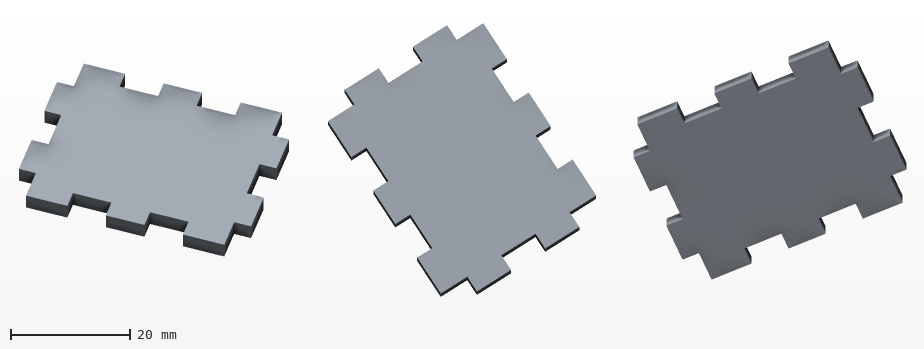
import cadquery as cq

length = 41.0
width = 31.0
thickness = 3.0
finger_width = 6.8

body_length = length - 2 * thickness

panel = cq.Workplane("XY").box(body_length, width, thickness)

gap_y = (width - thickness) / 2
gap_centers = [(x, y) for x in (-finger_width, finger_width) for y in (-gap_y, gap_y)]
gaps = cq.Workplane("XY").pushPoints(gap_centers).box(finger_width, thickness, thickness)

tab_centers = [(0, -finger_width), (0, finger_width)]
tab_bars = cq.Workplane("XY").pushPoints(tab_centers).box(length, finger_width, thickness)

result = panel.cut(gaps).union(tab_bars)